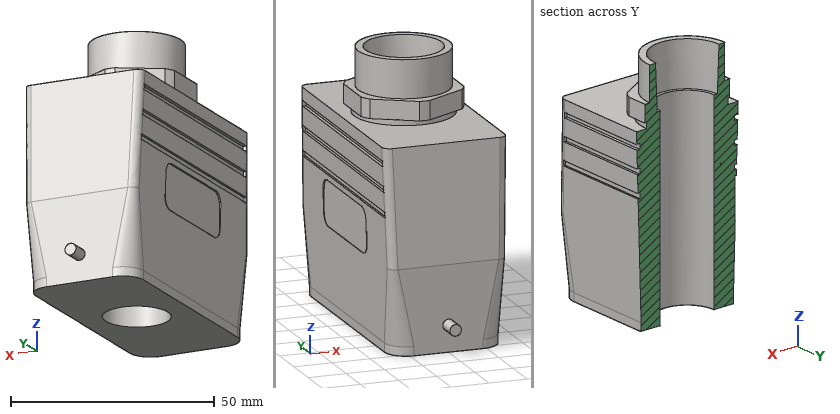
import cadquery as cq

BODY_TOP = 53.2
SHOULDER_HEIGHT = 22.5
RIM_HEIGHT = 2.4
TOP_WIDTH = 32.4
BASE_WIDTH = 29.5
TOP_LENGTH = 59.8
BASE_LENGTH = 63.0
BASE_CORNER_RADIUS = 5.65
UPPER_CORNER_RADIUS = 2.05

NECK_DIAMETER = 26.0
NUT_BOTTOM = 54.8
NUT_HEIGHT = 5.0
NUT_ACROSS_FLATS = 27.0
NUT_CORNER_DIAMETER = 29.7
COLLAR_DIAMETER = 24.0
COLLAR_HEIGHT = 10.0
BORE_DIAMETER = 17.0
SOCKET_MOUTH_DIAMETER = 20.0
SOCKET_FLOOR_DIAMETER = 18.92
SOCKET_DEPTH = 13.0

PIN_DIAMETER = 3.0
PIN_HEIGHT = 7.0
PIN_TIP_SPAN = 73.0
PIN_ROOT = 1.0

GROOVE_COUNT = 3
GROOVE_PITCH = 6.5
GROOVE_WIDTH = 1.45
LOWEST_GROOVE_CENTRE = 36.0
GROOVE_FLOOR_OFFSET = 15.15

LABEL_LENGTH = 30.2
LABEL_HEIGHT = 12.0
LABEL_CENTRE = 27.75
LABEL_CORNER_RADIUS = 3.0
LABEL_DEPTH = 0.25

NUT_TOP = NUT_BOTTOM + NUT_HEIGHT
COLLAR_TOP = NUT_TOP + COLLAR_HEIGHT


def interpolate(height, low_height, high_height, low_value, high_value):
    """Value at a height on a straight line between two levels."""
    fraction = (height - low_height) / (high_height - low_height)
    return low_value + fraction * (high_value - low_value)


def body_width(height):
    """Width along X above the rim, where the sides flare outward."""
    return interpolate(height, RIM_HEIGHT, BODY_TOP, BASE_WIDTH, TOP_WIDTH)


def upper_flat_length(height):
    """Length along Y of the flat side face between the corners, above the shoulder."""
    length = interpolate(height, SHOULDER_HEIGHT, BODY_TOP, BASE_LENGTH, TOP_LENGTH)
    return length - 2 * UPPER_CORNER_RADIUS


def rounded_section(height, width, length, radius):
    """Horizontal rounded rectangle of the body at a height."""
    outline = cq.Sketch().rect(width, length).vertices().fillet(radius)
    return outline.moved(cq.Location(cq.Vector(0, 0, height)))


def cylinder(diameter, bottom, top):
    return cq.Workplane("XY").workplane(offset=bottom).circle(diameter / 2).extrude(top - bottom)


def make_body():
    shoulder_width = body_width(SHOULDER_HEIGHT)
    sections = [
        rounded_section(0, BASE_WIDTH, BASE_LENGTH, BASE_CORNER_RADIUS),
        rounded_section(RIM_HEIGHT, BASE_WIDTH, BASE_LENGTH, BASE_CORNER_RADIUS),
        rounded_section(SHOULDER_HEIGHT, shoulder_width, BASE_LENGTH, UPPER_CORNER_RADIUS),
        rounded_section(BODY_TOP, TOP_WIDTH, TOP_LENGTH, UPPER_CORNER_RADIUS),
    ]
    return cq.Workplane("XY").placeSketch(*sections).loft(ruled=True)


def make_nut():
    """Hexagon with flats facing +X and -X and turned-down corners."""
    hexagon = (
        cq.Workplane("XY")
        .workplane(offset=NUT_BOTTOM)
        .polygon(6, NUT_ACROSS_FLATS, circumscribed=True)
        .extrude(NUT_HEIGHT)
    )
    return hexagon.intersect(cylinder(NUT_CORNER_DIAMETER, NUT_BOTTOM, NUT_TOP))


def make_cable_entry():
    neck = cylinder(NECK_DIAMETER, BODY_TOP, NUT_BOTTOM)
    collar = cylinder(COLLAR_DIAMETER, NUT_TOP, COLLAR_TOP)
    return neck.union(make_nut()).union(collar)


def make_bore():
    """Through bore that opens into a tapered socket at the collar."""
    socket = cq.Solid.makeCone(
        SOCKET_FLOOR_DIAMETER / 2,
        SOCKET_MOUTH_DIAMETER / 2,
        SOCKET_DEPTH,
        pnt=cq.Vector(0, 0, COLLAR_TOP - SOCKET_DEPTH),
    )
    return cylinder(BORE_DIAMETER, 0, COLLAR_TOP).union(cq.Workplane(socket))


def make_pin(side):
    """Pin on the +Y end (side = 1) or the -Y end (side = -1)."""
    root = BASE_LENGTH / 2 - PIN_ROOT
    pin = cq.Solid.makeCylinder(
        PIN_DIAMETER / 2,
        PIN_TIP_SPAN / 2 - root,
        cq.Vector(0, side * root, PIN_HEIGHT),
        cq.Vector(0, side, 0),
    )
    return cq.Workplane(pin)


def make_groove(centre_height, side):
    """Cutter for one groove; it stops where the rounded corners begin."""
    cutter_depth = TOP_WIDTH / 2 - GROOVE_FLOOR_OFFSET
    centre_x = side * (GROOVE_FLOOR_OFFSET + cutter_depth / 2)
    return (
        cq.Workplane("XY")
        .box(cutter_depth, upper_flat_length(centre_height), GROOVE_WIDTH)
        .translate((centre_x, 0, centre_height))
    )


def make_label_recess():
    """Cutter with a vertical floor, LABEL_DEPTH below the face at mid-height."""
    floor_offset = body_width(LABEL_CENTRE) / 2 - LABEL_DEPTH
    return (
        cq.Workplane("YZ", origin=(-TOP_WIDTH / 2, 0, LABEL_CENTRE))
        .rect(LABEL_LENGTH, LABEL_HEIGHT)
        .extrude(TOP_WIDTH / 2 - floor_offset)
        .edges("|X")
        .fillet(LABEL_CORNER_RADIUS)
    )


result = make_body().union(make_cable_entry())
result = result.cut(make_bore())
for side in (-1, 1):
    result = result.union(make_pin(side))
    for index in range(GROOVE_COUNT):
        result = result.cut(make_groove(LOWEST_GROOVE_CENTRE + index * GROOVE_PITCH, side))
result = result.cut(make_label_recess())